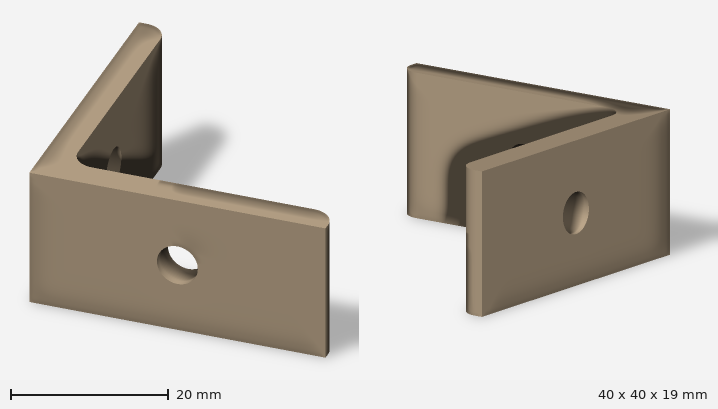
import cadquery as cq

leg_length = 40.0
height = 19.0
thickness = 4.0
corner_radius = 3.0
hole_diameter = 5.5

half_leg = leg_length / 2
inner_face = thickness - half_leg


def angle_profile():
    """L-shaped section with its sharp outer corner at (-half_leg, -half_leg)."""
    return (
        cq.Workplane("XY")
        .workplane(offset=-height / 2)
        .moveTo(-half_leg, -half_leg)
        .lineTo(half_leg, -half_leg)
        .lineTo(half_leg, inner_face)
        .lineTo(inner_face, inner_face)
        .lineTo(inner_face, half_leg)
        .lineTo(-half_leg, half_leg)
        .close()
    )


def leg_hole(plane):
    """Cylinder along the plane normal, through the middle of one leg."""
    return cq.Workplane(plane).circle(hole_diameter / 2).extrude(leg_length, both=True)


bracket = angle_profile().extrude(height)

for x, y in [(inner_face, inner_face), (half_leg, inner_face), (inner_face, half_leg)]:
    edge = cq.selectors.NearestToPointSelector((x, y, 0))
    bracket = bracket.edges("|Z").edges(edge).fillet(corner_radius)

for plane in ("XZ", "YZ"):
    bracket = bracket.cut(leg_hole(plane))

result = bracket